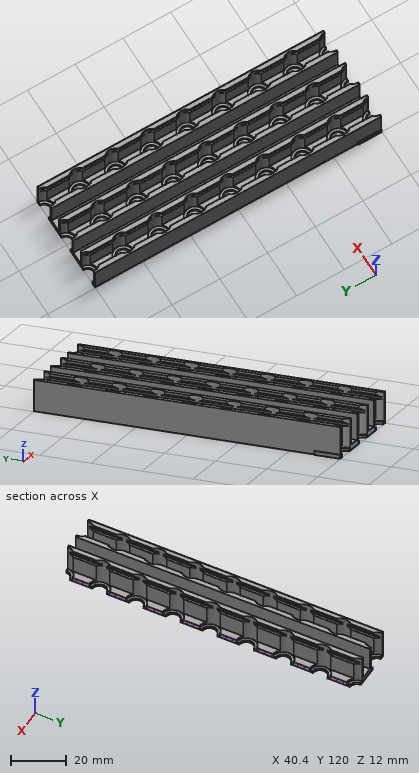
import cadquery as cq

length = 120.0
height = 12.0
channel_count = 3
channel_pitch = 15.0
channel_width = 10.0
wall_thickness = 2.0
floor_thickness = 2.0

hole_pitch = 15.0
hole_diameter = 6.0
relief_diameter = 8.2
relief_floor = 1.0

groove_depth = 1.0
groove_bottom = 9.2
groove_top = 10.0

tab_length = 10.0
tab_height = 1.5
tab_projection = 0.4

base_width = (channel_count - 1) * channel_pitch + channel_width
inner_half_width = channel_width / 2 - wall_thickness
groove_half_width = inner_half_width + groove_depth
lip_bottom = groove_top + groove_depth
hole_count = round(length / hole_pitch) + 1
channel_centers = [
    (index - (channel_count - 1) / 2) * channel_pitch for index in range(channel_count)
]
hole_centers = [
    (x, (index - (hole_count - 1) / 2) * hole_pitch)
    for x in channel_centers
    for index in range(hole_count)
]


def box(x_min, y_min, width, depth, tall):
    """Box standing on Z = 0 with its minimum corner at (x_min, y_min)."""
    return cq.Workplane("XY").box(width, depth, tall, centered=False).translate((x_min, y_min, 0))


def wall(center_x, side):
    """Full-length wall of one channel with a snap groove under its 45 degree lip."""
    outer = channel_width / 2
    section = [
        (outer, 0),
        (outer, height),
        (inner_half_width, height),
        (inner_half_width, lip_bottom),
        (groove_half_width, groove_top),
        (groove_half_width, groove_bottom),
        (inner_half_width, groove_bottom),
        (inner_half_width, 0),
    ]
    points = [(center_x + side * x, z) for x, z in section]
    return cq.Workplane("XZ").polyline(points).close().extrude(length / 2, both=True)


def vertical_cylinders(diameter, z_min):
    """Cylinders at every hole position, from z_min up to the top of the part."""
    return (
        cq.Workplane("XY")
        .workplane(offset=z_min)
        .pushPoints(hole_centers)
        .circle(diameter / 2)
        .extrude(height - z_min)
    )


body = box(-base_width / 2, -length / 2, base_width, length, floor_thickness)
tab = box(-base_width / 2 - tab_projection, -length / 2, tab_projection, tab_length, tab_height)
body = body.union(tab)

for channel_x in channel_centers:
    for wall_side in (-1, 1):
        body = body.union(wall(channel_x, wall_side))

body = body.cut(vertical_cylinders(hole_diameter, 0))
result = body.cut(vertical_cylinders(relief_diameter, relief_floor))